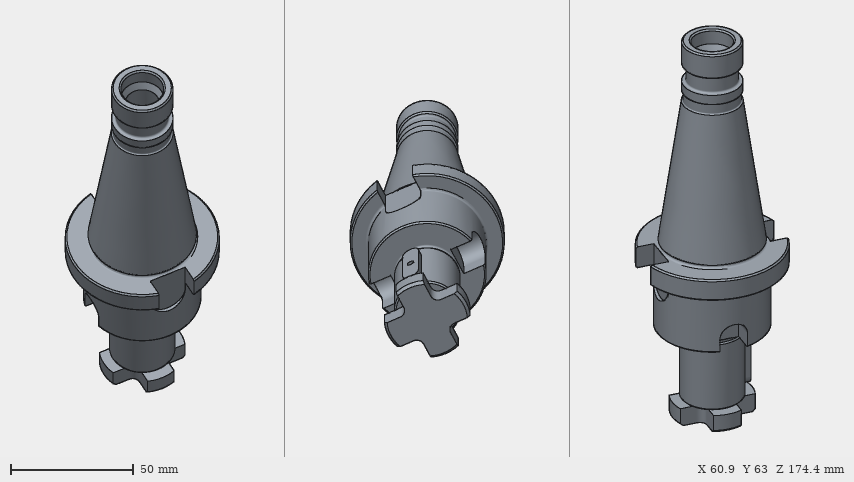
import cadquery as cq
SCREW_TOP = 8.2
ARBOR_TOP = 39.6
BODY_BOTTOM = 41.2
FLANGE_BOTTOM = 69.8
FLANGE_TOP = 79.5
TAPER_BOTTOM = 81.3
TAPER_TOP = 146.3
COLLAR_BOTTOM = 151.2
COLLAR_TOP = 155.5
KNOB_BOTTOM = 163.0
TOTAL_HEIGHT = 174.4

ARBOR_RADIUS = 13.5
ARBOR_RELIEF_RADIUS = 12.9
BODY_RADIUS = 24.0
FLANGE_RADIUS = 63.0 / 2
TAPER_RELIEF_RADIUS = 21.6
TAPER_LARGE_RADIUS = 22.1
TAPER_SLOPE = 3.5 / 24
TAPER_SMALL_RADIUS = TAPER_LARGE_RADIUS - TAPER_SLOPE * (TAPER_TOP - TAPER_BOTTOM)
THROAT_RADIUS = 12.0
COLLAR_RADIUS = 12.5
NECK_RADIUS = 10.8
EDGE_CHAMFER = 0.7

BORE_RADIUS = 8.7
BORE_DEPTH = 6.6
BORE_MOUTH_CHAMFER = 0.7
BORE_CONE_DEPTH = 9.6
DRILL_RADIUS = 7.0
DRILL_DEPTH = 27.9
DRILL_TIP_HEIGHT = 4.2

DRIVE_SLOT_WIDTH = 16.0
DRIVE_SLOT_BOTTOM = 58.0
DRIVE_SLOT_FLOOR = 22.5

NOTCH_WIDTH = 12.2
NOTCH_TOP = 53.5
NOTCH_FLOOR = 13.6

KEY_WIDTH = 7.2
KEY_BOTTOM = 11.3
KEY_TOP = 36.1
KEY_FACE = 15.7
KEY_HOLE_RADIUS = 1.4
KEY_HOLE_DEPTH = 3.5

SCREW_RADIUS = 17.6
SCREW_ARM_WIDTH = 12.2
SCREW_ARM_FILLET = 3.1
SCREW_CHAMFER = 1.2

ARBOR_FILLET = 0.7
THROAT_LOWER_FILLET = 0.5
THROAT_UPPER_FILLET = 0.3
NECK_FILLET = 0.9
FLANGE_FILLET = 1.0


def revolve(profile):
    """Turn a closed (radius, height) outline about the Z axis."""
    return cq.Workplane("XZ").polyline(profile).close().revolve(360, (0, 0), (0, 1))


def fillet_corner(body, radius, height, fillet):
    """Round the circular edge of a body that has the given radius and height."""
    margin = 0.09
    corner = cq.selectors.BoxSelector(
        (-radius - margin, -radius - margin, height - margin),
        (radius + margin, radius + margin, height + margin),
        boundingbox=True,
    )
    return body.edges("%CIRCLE").edges(corner).fillet(fillet)


def make_shank():
    c = EDGE_CHAMFER
    shank = revolve([
        (0, SCREW_TOP),
        (ARBOR_RADIUS - c, SCREW_TOP),
        (ARBOR_RADIUS, SCREW_TOP + c),
        (ARBOR_RADIUS, ARBOR_TOP - c),
        (ARBOR_RELIEF_RADIUS, ARBOR_TOP),
        (ARBOR_RELIEF_RADIUS, BODY_BOTTOM),
        (BODY_RADIUS - c, BODY_BOTTOM),
        (BODY_RADIUS, BODY_BOTTOM + c),
        (BODY_RADIUS, FLANGE_BOTTOM),
        (FLANGE_RADIUS - c, FLANGE_BOTTOM),
        (FLANGE_RADIUS, FLANGE_BOTTOM + c),
        (FLANGE_RADIUS, FLANGE_TOP - c),
        (FLANGE_RADIUS - c, FLANGE_TOP),
        (TAPER_RELIEF_RADIUS, FLANGE_TOP),
        (TAPER_RELIEF_RADIUS, TAPER_BOTTOM),
        (TAPER_LARGE_RADIUS, TAPER_BOTTOM),
        (TAPER_SMALL_RADIUS, TAPER_TOP),
        (THROAT_RADIUS, TAPER_TOP),
        (THROAT_RADIUS, COLLAR_BOTTOM),
        (COLLAR_RADIUS, COLLAR_BOTTOM),
        (COLLAR_RADIUS, COLLAR_TOP),
        (NECK_RADIUS, COLLAR_TOP),
        (NECK_RADIUS, KNOB_BOTTOM),
        (COLLAR_RADIUS - c, KNOB_BOTTOM),
        (COLLAR_RADIUS, KNOB_BOTTOM + c),
        (COLLAR_RADIUS, TOTAL_HEIGHT - c),
        (COLLAR_RADIUS - c, TOTAL_HEIGHT),
        (0, TOTAL_HEIGHT),
    ])
    inner_corners = [
        (ARBOR_RELIEF_RADIUS, BODY_BOTTOM, ARBOR_FILLET),
        (BODY_RADIUS, FLANGE_BOTTOM, FLANGE_FILLET),
        (TAPER_RELIEF_RADIUS, FLANGE_TOP, FLANGE_FILLET),
        (THROAT_RADIUS, TAPER_TOP, THROAT_LOWER_FILLET),
        (THROAT_RADIUS, COLLAR_BOTTOM, THROAT_UPPER_FILLET),
        (NECK_RADIUS, COLLAR_TOP, NECK_FILLET),
        (NECK_RADIUS, KNOB_BOTTOM, NECK_FILLET),
    ]
    for radius, height, fillet in inner_corners:
        shank = fillet_corner(shank, radius, height, fillet)
    return shank


def make_bore():
    drill_end = TOTAL_HEIGHT - DRILL_DEPTH
    return revolve([
        (0, TOTAL_HEIGHT),
        (BORE_RADIUS + BORE_MOUTH_CHAMFER, TOTAL_HEIGHT),
        (BORE_RADIUS, TOTAL_HEIGHT - BORE_MOUTH_CHAMFER),
        (BORE_RADIUS, TOTAL_HEIGHT - BORE_DEPTH),
        (DRILL_RADIUS, TOTAL_HEIGHT - BORE_CONE_DEPTH),
        (DRILL_RADIUS, drill_end),
        (0, drill_end - DRILL_TIP_HEIGHT),
    ])


def make_pair(cutter):
    """Add the copy of a cutter on the opposite side of the axis."""
    return cutter.union(cutter.rotate((0, 0, 0), (0, 0, 1), 180))


def make_drive_slots():
    """Slots open at the top of the flange, with a round lower end."""
    r = DRIVE_SLOT_WIDTH / 2
    cutter = (
        cq.Workplane("YZ", origin=(DRIVE_SLOT_FLOOR, 0, 0))
        .moveTo(-r, FLANGE_TOP)
        .lineTo(-r, DRIVE_SLOT_BOTTOM + r)
        .threePointArc((0, DRIVE_SLOT_BOTTOM), (r, DRIVE_SLOT_BOTTOM + r))
        .lineTo(r, FLANGE_TOP)
        .close()
        .extrude(FLANGE_RADIUS)
    )
    return make_pair(cutter)


def make_notches():
    """Notches open at the bottom of the body, with a round upper end."""
    r = NOTCH_WIDTH / 2
    cutter = (
        cq.Workplane("XZ", origin=(0, -NOTCH_FLOOR, 0))
        .moveTo(-r, BODY_BOTTOM)
        .lineTo(-r, NOTCH_TOP - r)
        .threePointArc((0, NOTCH_TOP), (r, NOTCH_TOP - r))
        .lineTo(r, BODY_BOTTOM)
        .close()
        .extrude(BODY_RADIUS)
    )
    return make_pair(cutter)


def make_key():
    middle = (KEY_BOTTOM + KEY_TOP) / 2
    face = cq.Workplane("YZ", origin=(-KEY_FACE, 0, middle))
    key = face.slot2D(KEY_TOP - KEY_BOTTOM, KEY_WIDTH, 90).extrude(KEY_FACE)
    hole = face.circle(KEY_HOLE_RADIUS).extrude(KEY_HOLE_DEPTH)
    return key, hole


def make_screw():
    head = cq.Workplane("XY").circle(SCREW_RADIUS).extrude(SCREW_TOP)
    head = head.faces("<Z").chamfer(SCREW_CHAMFER)
    arms_x = cq.Workplane("XY").rect(2 * SCREW_RADIUS, SCREW_ARM_WIDTH).extrude(SCREW_TOP)
    arms_y = cq.Workplane("XY").rect(SCREW_ARM_WIDTH, 2 * SCREW_RADIUS).extrude(SCREW_TOP)
    between_arms = cq.selectors.BoxSelector(
        (-SCREW_ARM_WIDTH, -SCREW_ARM_WIDTH, 0),
        (SCREW_ARM_WIDTH, SCREW_ARM_WIDTH, SCREW_TOP),
    )
    cross = arms_x.union(arms_y)
    cross = cross.edges("|Z").edges(between_arms).fillet(SCREW_ARM_FILLET)
    return head.intersect(cross)


key, key_hole = make_key()
result = (
    make_shank()
    .cut(make_bore())
    .cut(make_drive_slots())
    .cut(make_notches())
    .union(key)
    .cut(key_hole)
    .union(make_screw())
)